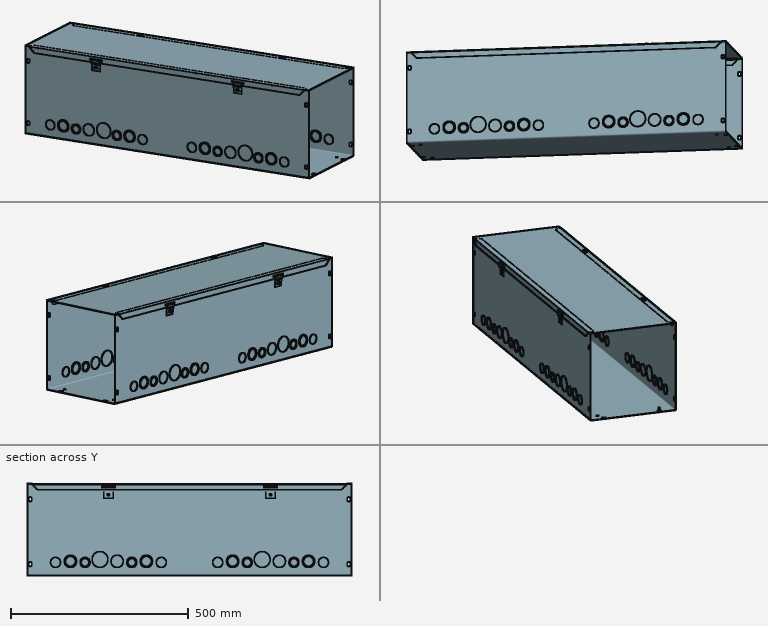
import cadquery as cq

LENGTH = 914.0
REAR_Y = 133.5
CLIP_FRONT_Y = -133.5
BOTTOM_Z = -132.0
SCREW_TOP_Z = 132.0

SHEET = 2.1
TROUGH_BEND_RADIUS = 5.0
LID_BEND_RADIUS = 2.3
CREST_HEIGHT = 5.1
HEAD_THICKNESS = 2.6

LID_TOP_Z = SCREW_TOP_Z - HEAD_THICKNESS
TROUGH_TOP_Z = LID_TOP_Z - SHEET
WALL_REAR_Y = REAR_Y - SHEET
WALL_FRONT_Y = CLIP_FRONT_Y + CREST_HEIGHT
WIDTH = WALL_REAR_Y - WALL_FRONT_Y
MID_Y = (WALL_REAR_Y + WALL_FRONT_Y) / 2
HEIGHT = TROUGH_TOP_Z - BOTTOM_Z
MID_Z = (TROUGH_TOP_Z + BOTTOM_Z) / 2

LIP_DEPTH = 18.0
LIP_LENGTH = 887.0
LIP_CHAMFER = 7.0

END_SLOT_INSET = 8.0
END_SLOT_LENGTH = 12.0
END_SLOT_WIDTH = 8.0
WALL_SLOT_Z = (-99.0, 84.0)
FLOOR_SLOT_Y = 84.0
FLOOR_HOLE_INSET = 33.0
FLOOR_HOLE_Y = 93.0
FLOOR_HOLE_DIAMETER = 6.3

KNOCKOUT_BOTTOM_Z = -108.0
KNOCKOUT_DEPTH = 0.4
SMALL, MEDIUM, LARGE, EXTRA_LARGE = 22.0, 28.0, 35.0, 45.0
KNOCKOUT_GROUP = [
    (-149.0, (MEDIUM,)),
    (-107.0, (LARGE, MEDIUM)),
    (-66.0, (MEDIUM, SMALL)),
    (-25.0, (LARGE,)),
    (24.0, (EXTRA_LARGE,)),
    (66.0, (MEDIUM, SMALL)),
    (107.0, (LARGE, MEDIUM)),
    (149.0, (MEDIUM,)),
]

STATIONS = (-LENGTH / 4, LENGTH / 4)

HEAD_DIAMETER = 8.0
SHANK_DIAMETER = 6.3
SCREW_LENGTH = 13.0
TIP_CHAMFER = 1.1
DRIVE_DIAMETER = 5.0
DRIVE_DEPTH = 1.0
LID_SCREW_Y = 119.0
CLIP_SCREW_Z = 97.4

FLANGE_HEIGHT = 18.0
FLANGE_LENGTH = 889.0
KEYHOLE_DIAMETER = 12.0
KEYHOLE_OFFSET = 7.0
CLIP_SLOT_LENGTH = 38.0
CLIP_SLOT_BOTTOM_Z = 117.0
CLIP_SLOT_HEIGHT = 4.0

CLIP_WIDTH = 26.5
CLIP_BOTTOM_Z = 87.0
CLIP_STEP_Z = 95.0
CLIP_JOGGLE_Z = 101.5
CLIP_BULGE_Z = 106.0
CLIP_CREST_Z = 112.5
CLIP_TOP_Z = 120.0
CLIP_SHEET = 1.0
CLIP_PAD = 1.2
CLIP_HOOK_GAP = 1.0


def box_between(x_range, y_range, z_range):
    """A box given by its limits along each axis."""
    sizes = [high - low for low, high in (x_range, y_range, z_range)]
    corner = (x_range[0], y_range[0], z_range[0])
    return cq.Workplane("XY").box(*sizes, centered=False).translate(corner)


def cylinder_y(diameter, x, z, y_start, length):
    """A cylinder that starts at y_start and runs toward +Y."""
    solid = cq.Solid.makeCylinder(diameter / 2, length, cq.Vector(x, y_start, z), cq.Vector(0, 1, 0))
    return cq.Workplane(solid)


def trough_channel():
    """U-shaped channel with rounded bottom bends."""
    outer = cq.Workplane("XY").box(LENGTH, WIDTH, HEIGHT).translate((0, MID_Y, MID_Z))
    outer = outer.edges("|X and <Z").fillet(TROUGH_BEND_RADIUS)
    inner = cq.Workplane("XY").box(LENGTH, WIDTH - 2 * SHEET, HEIGHT)
    inner = inner.edges("|X and <Z").fillet(TROUGH_BEND_RADIUS - SHEET).translate((0, MID_Y, MID_Z + SHEET))
    return outer.cut(inner)


def trough_lips():
    """Flat lips turned inward along the tops of both walls, with chamfered inner corners."""
    lips = cq.Workplane("XY")
    for wall_y, side in ((WALL_FRONT_Y, 1), (WALL_REAR_Y, -1)):
        lip = cq.Workplane("XY").box(LIP_LENGTH, LIP_DEPTH, SHEET)
        lip = lip.edges("|Z and " + (">Y" if side > 0 else "<Y")).chamfer(LIP_CHAMFER)
        lips = lips.add(lip.translate((0, wall_y + side * LIP_DEPTH / 2, TROUGH_TOP_Z - SHEET / 2)))
    return lips


def end_holes():
    """Slots through the walls and floor, and round floor holes, near both open ends."""
    cutters = cq.Workplane("XY")
    slot_x = LENGTH / 2 - END_SLOT_INSET
    hole_x = LENGTH / 2 - FLOOR_HOLE_INSET
    wall_points = [(x, z) for x in (-slot_x, slot_x) for z in WALL_SLOT_Z]
    slot_points = [(x, y) for x in (-slot_x, slot_x) for y in (-FLOOR_SLOT_Y, FLOOR_SLOT_Y)]
    hole_points = [(x, y) for x in (-hole_x, hole_x) for y in (-FLOOR_HOLE_Y, FLOOR_HOLE_Y)]
    floor_plane = cq.Workplane("XY", origin=(0, 0, BOTTOM_Z))
    wall_slots = cq.Workplane("XZ", origin=(0, MID_Y, 0)).pushPoints(wall_points)
    wall_slots = wall_slots.slot2D(END_SLOT_LENGTH, END_SLOT_WIDTH, 90).extrude(WIDTH, both=True)
    floor_slots = floor_plane.pushPoints(slot_points)
    floor_slots = floor_slots.slot2D(END_SLOT_LENGTH, END_SLOT_WIDTH, 90).extrude(SHEET)
    floor_holes = floor_plane.pushPoints(hole_points).circle(FLOOR_HOLE_DIAMETER / 2).extrude(SHEET)
    return cutters.add(wall_slots).add(floor_slots).add(floor_holes)


def knockouts():
    """Shallow disc recesses, stepped where concentric, in both faces of both walls."""
    cutters = cq.Workplane("XY")
    for station in STATIONS:
        for offset, diameters in KNOCKOUT_GROUP:
            center_z = KNOCKOUT_BOTTOM_Z + diameters[0] / 2
            for step, diameter in enumerate(diameters, start=1):
                depth = step * KNOCKOUT_DEPTH
                for wall_y in (WALL_FRONT_Y, WALL_REAR_Y - SHEET):
                    for start_y in (wall_y, wall_y + SHEET - depth):
                        recess = cylinder_y(diameter, station + offset, center_z, start_y, depth)
                        cutters = cutters.add(recess)
    return cutters


def make_screw():
    """Screw on the Z axis: the top of the head is at Z = 0 and the shank points down."""
    head = cq.Workplane("XY").circle(HEAD_DIAMETER / 2).extrude(-HEAD_THICKNESS)
    shank = cq.Workplane("XY").circle(SHANK_DIAMETER / 2).extrude(-SCREW_LENGTH)
    shank = shank.faces("<Z").chamfer(TIP_CHAMFER)
    drive = cq.Workplane("XY").circle(DRIVE_DIAMETER / 2).extrude(-DRIVE_DEPTH)
    return head.union(shank).cut(drive)


def lid_screw(station):
    return make_screw().translate((station, LID_SCREW_Y, SCREW_TOP_Z))


def clip_screw(station):
    head_y = WALL_FRONT_Y - CLIP_PAD - HEAD_THICKNESS
    return make_screw().rotate((0, 0, 0), (1, 0, 0), 90).translate((station, head_y, CLIP_SCREW_Z))


def make_trough():
    trough = trough_channel()
    for lip in trough_lips().vals():
        trough = trough.union(cq.Workplane(lip))
    for cutter in end_holes().vals() + knockouts().vals():
        trough = trough.cut(cq.Workplane(cutter))
    for station in STATIONS:
        trough = trough.cut(lid_screw(station)).cut(clip_screw(station))
    return trough


def lid_flange(y_start):
    """Flange hanging from the lid, tapered at 45 degrees toward its ends."""
    top_x = FLANGE_LENGTH / 2
    bottom_x = top_x - FLANGE_HEIGHT + SHEET
    flange_bottom_z = LID_TOP_Z - FLANGE_HEIGHT
    return (
        cq.Workplane("XZ", origin=(0, y_start + SHEET, 0))
        .moveTo(-top_x, LID_TOP_Z)
        .lineTo(top_x, LID_TOP_Z)
        .lineTo(top_x, TROUGH_TOP_Z)
        .lineTo(bottom_x, flange_bottom_z)
        .lineTo(-bottom_x, flange_bottom_z)
        .lineTo(-top_x, TROUGH_TOP_Z)
        .close()
        .extrude(SHEET)
    )


def make_lid():
    x_range = (-LENGTH / 2, LENGTH / 2)
    lid = box_between(x_range, (WALL_FRONT_Y, WALL_REAR_Y), (TROUGH_TOP_Z, LID_TOP_Z))
    lid = lid.union(lid_flange(WALL_FRONT_Y - SHEET)).union(lid_flange(WALL_REAR_Y))
    envelope = box_between(x_range, (WALL_FRONT_Y - SHEET, REAR_Y), (BOTTOM_Z, LID_TOP_Z))
    lid = lid.intersect(envelope.edges("|X and >Z").fillet(LID_BEND_RADIUS))
    slot_z = (CLIP_SLOT_BOTTOM_Z, CLIP_SLOT_BOTTOM_Z + CLIP_SLOT_HEIGHT)
    for station in STATIONS:
        keyhole = cq.Workplane("XY", origin=(station, LID_SCREW_Y, TROUGH_TOP_Z))
        wide_end = keyhole.center(KEYHOLE_OFFSET, 0).circle(KEYHOLE_DIAMETER / 2).extrude(SHEET)
        narrow_slot = keyhole.center(KEYHOLE_OFFSET / 2, 0)
        narrow_slot = narrow_slot.slot2D(KEYHOLE_OFFSET + SHANK_DIAMETER, SHANK_DIAMETER).extrude(SHEET)
        lid = lid.cut(wide_end).cut(narrow_slot)
        slot_x = (station - CLIP_SLOT_LENGTH / 2, station + CLIP_SLOT_LENGTH / 2)
        lid = lid.cut(box_between(slot_x, (WALL_FRONT_Y - SHEET, WALL_FRONT_Y), slot_z))
    return lid


def make_clip(station):
    """Spring clip: a plate screwed to the front wall, bulging over the flange and hooked in its slot."""
    crest_inner = CREST_HEIGHT - CLIP_SHEET
    bulge_outer = CLIP_PAD + CLIP_SHEET

    def at(stand_off, z):
        return (WALL_FRONT_Y - stand_off, z)

    clip = (
        cq.Workplane("YZ", origin=(station - CLIP_WIDTH / 2, 0, 0))
        .moveTo(*at(0, CLIP_BOTTOM_Z))
        .lineTo(*at(CLIP_SHEET, CLIP_BOTTOM_Z))
        .lineTo(*at(CLIP_SHEET, CLIP_STEP_Z))
        .lineTo(*at(CLIP_PAD, CLIP_STEP_Z))
        .lineTo(*at(CLIP_PAD, CLIP_JOGGLE_Z))
        .lineTo(*at(bulge_outer, CLIP_BULGE_Z))
        .threePointArc(at(CREST_HEIGHT, CLIP_CREST_Z), at(CLIP_HOOK_GAP, CLIP_TOP_Z))
        .lineTo(*at(CLIP_HOOK_GAP, CLIP_TOP_Z - CLIP_SHEET))
        .threePointArc(at(crest_inner, CLIP_CREST_Z), at(CLIP_PAD, CLIP_BULGE_Z))
        .lineTo(*at(0, CLIP_JOGGLE_Z))
        .close()
        .extrude(CLIP_WIDTH)
    )
    return clip.cut(clip_screw(station))


trough = make_trough()
lid = make_lid()
clips = [make_clip(station) for station in STATIONS]
lid_screws = [lid_screw(station) for station in STATIONS]
clip_screws = [clip_screw(station) for station in STATIONS]

bodies = [trough, lid, *clips, *lid_screws, *clip_screws]
result = cq.Compound.makeCompound([body.val() for body in bodies])